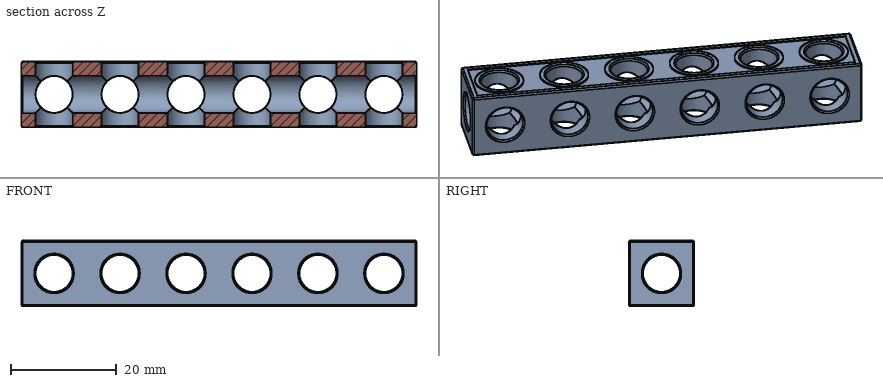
import cadquery as cq

length = 75.0
cell_count = 6
pitch = length / cell_count
side = pitch
edge_chamfer = 0.3

hole_diameter = 7.0
hole_chamfer = 0.3

tray_rim = 1.1
tray_depth = 0.2
ring_diameter = 9.2

cell_centres = [(i - (cell_count - 1) / 2) * pitch for i in range(cell_count)]


def beam():
    return cq.Workplane("XY").box(length, side, side).edges().chamfer(edge_chamfer)


def tray():
    """Material removed from the top face, leaving a rim and the hole rings."""
    floor = cq.Workplane("XY").workplane(offset=side / 2 - tray_depth)
    pocket = floor.rect(length - 2 * tray_rim, side - 2 * tray_rim).extrude(tray_depth)
    ring_centres = [(x, 0) for x in cell_centres]
    rings = floor.pushPoints(ring_centres).circle(ring_diameter / 2).extrude(tray_depth)
    return pocket.cut(rings)


def chamfered_hole(depth):
    """Cutter along Z, centred on the origin, with a countersink at both ends."""
    hole_radius = hole_diameter / 2
    mouth_radius = hole_radius + hole_chamfer
    end = depth / 2
    profile = [
        (0, -end),
        (mouth_radius, -end),
        (hole_radius, -end + hole_chamfer),
        (hole_radius, end - hole_chamfer),
        (mouth_radius, end),
        (0, end),
    ]
    return cq.Workplane("XZ").polyline(profile).close().revolve(360, (0, 0), (0, 1))


result = beam().cut(tray())

vertical_hole = chamfered_hole(side)
crosswise_hole = vertical_hole.rotate((0, 0, 0), (1, 0, 0), 90)
for x in cell_centres:
    result = result.cut(vertical_hole.translate((x, 0, 0)))
    result = result.cut(crosswise_hole.translate((x, 0, 0)))

lengthwise_hole = chamfered_hole(length).rotate((0, 0, 0), (0, 1, 0), 90)
result = result.cut(lengthwise_hole)